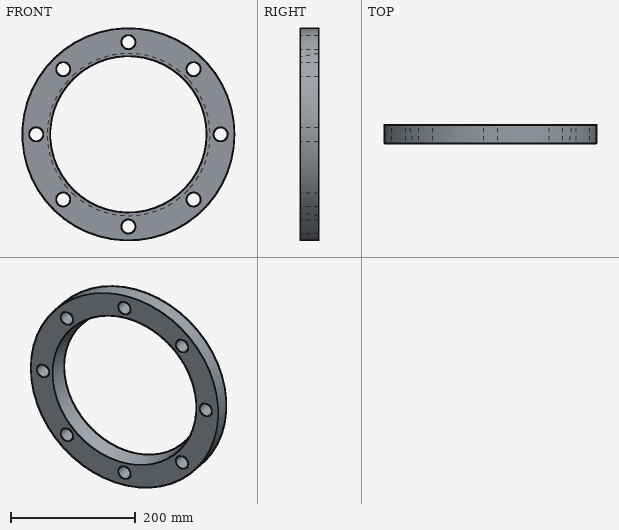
import cadquery as cq

outer_diameter = 340.0
thickness = 30.0
edge_fillet = 2.0

bore_front_diameter = 250.0
bore_back_diameter = 260.5

hole_count = 8
hole_diameter = 22.0
bolt_circle_diameter = 295.0


def back_plane():
    """Workplane on the back face; extruding from it runs toward the front."""
    return cq.Workplane("XZ", origin=(0, thickness / 2, 0))


def rounded_disc():
    """Solid disc with its front rim rounded."""
    disc = back_plane().circle(outer_diameter / 2).extrude(thickness)
    return disc.faces("<Y").edges().fillet(edge_fillet)


def conical_bore():
    """Truncated cone that opens the middle of the ring."""
    return (
        back_plane()
        .circle(bore_back_diameter / 2)
        .workplane(offset=thickness)
        .circle(bore_front_diameter / 2)
        .loft()
    )


def bolt_holes():
    """Evenly spaced through holes, the first one on the X axis."""
    return (
        back_plane()
        .polarArray(bolt_circle_diameter / 2, 0, 360, hole_count)
        .circle(hole_diameter / 2)
        .extrude(thickness)
    )


result = rounded_disc().cut(conical_bore()).cut(bolt_holes())